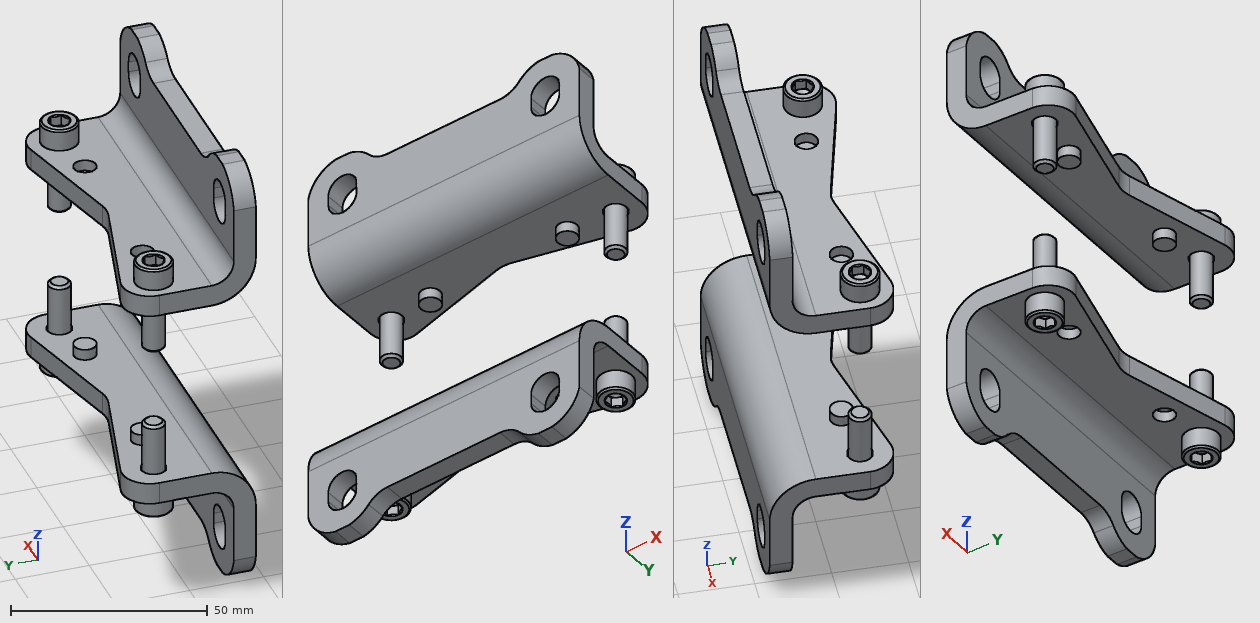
import cadquery as cq
import math


overall_height = 122.0
bracket_width = 87.0
bracket_depth = 33.5
bracket_height = 36.0
sheet_thickness = 6.0
bend_outer_radius = 12.0
bend_inner_radius = bend_outer_radius - sheet_thickness
half_width = bracket_width / 2
flange_end_z = overall_height / 2
plate_outer_z = flange_end_z - bracket_height
plate_inner_z = plate_outer_z + sheet_thickness

lobe_edge_distance = 11.0
lobe_flat_half_length = 2.2
lobe_radius = math.hypot(lobe_edge_distance, lobe_flat_half_length)
lobe_x = half_width - lobe_edge_distance
lobe_z = flange_end_z - lobe_edge_distance
lobe_valley_radius = 8.0
flange_valley_depth = 6.3
slot_width = 9.0
slot_length = 12.0

back_corner_radius = 7.5
back_valley_y = 25.0
back_valley_radius = 10.0

screw_x = 36.0
screw_y = 25.0
screw_hole_diameter = 6.6
shank_diameter = 6.0
screw_length = 20.0
shank_tip_chamfer = 0.7
head_diameter = 10.0
head_height = 6.0
head_edge_chamfer = 0.5
socket_across_flats = 5.0
socket_depth = 3.0
socket_turn = 30.0
socket_floor_slope = 30.0

boss_x = 22.0
boss_y = 23.0
boss_diameter = 6.0
boss_height = 3.0


def mirrored_x(x):
    """X positions of a pair of features on either side of X = 0."""
    return (-x, x)


def make_bent_sheet():
    """Full-width L-shaped sheet: a flange along Z and a plate along Y."""
    return (
        cq.Workplane("YZ", origin=(-half_width, 0, 0))
        .moveTo(0, flange_end_z)
        .lineTo(sheet_thickness, flange_end_z)
        .lineTo(sheet_thickness, plate_outer_z + bend_outer_radius)
        .radiusArc((bend_outer_radius, plate_inner_z), -bend_inner_radius)
        .lineTo(bracket_depth, plate_inner_z)
        .lineTo(bracket_depth, plate_outer_z)
        .lineTo(bend_outer_radius, plate_outer_z)
        .radiusArc((0, plate_outer_z + bend_outer_radius), bend_outer_radius)
        .close()
        .extrude(bracket_width)
    )


def make_flange_outline():
    """Block along Y whose outline is the bracket seen square to the flange."""
    radius_sum = lobe_radius + lobe_valley_radius
    valley_z = flange_end_z - flange_valley_depth
    arc_angle = math.acos((valley_z + lobe_valley_radius - lobe_z) / radius_sum)
    junction_x = lobe_x - lobe_radius * math.sin(arc_angle)
    junction_z = lobe_z + lobe_radius * math.cos(arc_angle)
    valley_end_x = lobe_x - radius_sum * math.sin(arc_angle)
    shoulder_z = lobe_z + lobe_flat_half_length
    outer_arc_x = lobe_x + lobe_flat_half_length
    inner_arc_x = lobe_x - lobe_flat_half_length
    return (
        cq.Workplane("XZ")
        .moveTo(-half_width, plate_outer_z)
        .lineTo(-half_width, shoulder_z)
        .radiusArc((-outer_arc_x, flange_end_z), lobe_radius)
        .lineTo(-inner_arc_x, flange_end_z)
        .radiusArc((-junction_x, junction_z), lobe_radius)
        .radiusArc((-valley_end_x, valley_z), -lobe_valley_radius)
        .lineTo(valley_end_x, valley_z)
        .radiusArc((junction_x, junction_z), -lobe_valley_radius)
        .radiusArc((inner_arc_x, flange_end_z), lobe_radius)
        .lineTo(outer_arc_x, flange_end_z)
        .radiusArc((half_width, shoulder_z), lobe_radius)
        .lineTo(half_width, plate_outer_z)
        .close()
        .extrude(-bracket_depth)
    )


def make_plate_outline():
    """Block along Z whose outline is the bracket seen square to the plate."""
    corner_x = half_width - back_corner_radius
    corner_y = bracket_depth - back_corner_radius
    valley_center_y = back_valley_y + back_valley_radius
    rise = valley_center_y - corner_y
    center_angle = math.atan2(rise, corner_x)
    center_distance = math.hypot(corner_x, rise)
    slope = math.asin((back_corner_radius + back_valley_radius) / center_distance) - center_angle
    corner_end_x = corner_x - back_corner_radius * math.sin(slope)
    corner_end_y = corner_y + back_corner_radius * math.cos(slope)
    valley_end_x = back_valley_radius * math.sin(slope)
    valley_end_y = valley_center_y - back_valley_radius * math.cos(slope)
    return (
        cq.Workplane("XY", origin=(0, 0, plate_outer_z))
        .moveTo(-half_width, 0)
        .lineTo(-half_width, corner_y)
        .radiusArc((-corner_end_x, corner_end_y), back_corner_radius)
        .lineTo(-valley_end_x, valley_end_y)
        .radiusArc((valley_end_x, valley_end_y), -back_valley_radius)
        .lineTo(corner_end_x, corner_end_y)
        .radiusArc((half_width, corner_y), back_corner_radius)
        .lineTo(half_width, 0)
        .close()
        .extrude(bracket_height)
    )


def make_slots():
    """Upright slots; the end of each that is nearer the flange end is concentric with its lobe."""
    slot_z = lobe_z - (slot_length - slot_width) / 2
    return (
        cq.Workplane("XZ")
        .pushPoints([(x, slot_z) for x in mirrored_x(lobe_x)])
        .slot2D(slot_length, slot_width, 90)
        .extrude(-sheet_thickness)
    )


def make_plate_cylinders(x, y, diameter, bottom_z, height):
    """A mirrored pair of upright cylinders."""
    return (
        cq.Workplane("XY", origin=(0, 0, bottom_z))
        .pushPoints([(side_x, y) for side_x in mirrored_x(x)])
        .circle(diameter / 2)
        .extrude(height)
    )


def make_bracket():
    """Upper bracket with its slots, screw holes and pressed-out bosses."""
    blank = make_bent_sheet().intersect(make_flange_outline()).intersect(make_plate_outline())
    screw_holes = make_plate_cylinders(
        screw_x, screw_y, screw_hole_diameter, plate_outer_z, sheet_thickness
    )
    recesses = make_plate_cylinders(
        boss_x, boss_y, boss_diameter, plate_inner_z - boss_height, boss_height
    )
    bosses = make_plate_cylinders(
        boss_x, boss_y, boss_diameter, plate_outer_z - boss_height, boss_height
    )
    return blank.cut(make_slots()).cut(screw_holes).cut(recesses).union(bosses)


def make_socket():
    """Hexagonal drive socket with a conical mouth and a conical floor, opening at Z = head_height."""
    corner_radius = socket_across_flats / math.sqrt(3)
    flat_radius = socket_across_flats / 2
    floor_z = head_height - socket_depth
    hexagon = (
        cq.Workplane("XY", origin=(0, 0, floor_z))
        .polygon(6, 2 * corner_radius)
        .extrude(socket_depth)
        .rotate((0, 0, 0), (0, 0, 1), socket_turn)
    )
    mouth_depth = corner_radius - flat_radius
    mouth = cq.Workplane(
        cq.Solid.makeCone(
            flat_radius, corner_radius, mouth_depth, pnt=cq.Vector(0, 0, head_height - mouth_depth)
        )
    )
    floor_cone_height = flat_radius * math.tan(math.radians(socket_floor_slope))
    floor_cone = cq.Workplane(
        cq.Solid.makeCone(
            0, flat_radius, floor_cone_height, pnt=cq.Vector(0, 0, floor_z - floor_cone_height)
        )
    )
    return hexagon.union(mouth).union(floor_cone)


def make_screw(x):
    """Upper cap screw, its head resting on the inner face of the plate."""
    head = (
        cq.Workplane("XY")
        .circle(head_diameter / 2)
        .extrude(head_height)
        .faces(">Z")
        .chamfer(head_edge_chamfer)
    )
    shank = (
        cq.Workplane("XY")
        .circle(shank_diameter / 2)
        .extrude(-screw_length)
        .faces("<Z")
        .chamfer(shank_tip_chamfer)
    )
    return head.union(shank).cut(make_socket()).translate((x, screw_y, plate_inner_z))


upper_bracket = make_bracket()
lower_bracket = upper_bracket.mirror("XY")

screws = []
for side_x in mirrored_x(screw_x):
    upper_screw = make_screw(side_x)
    screws.append(upper_screw.val())
    screws.append(upper_screw.mirror("XY").val())

result = cq.Compound.makeCompound([upper_bracket.val(), lower_bracket.val(), *screws])